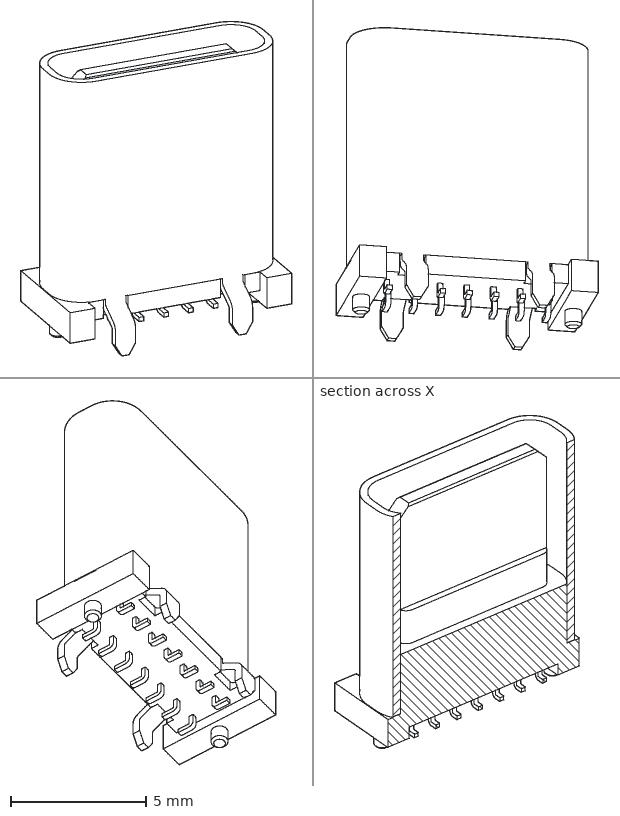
import cadquery as cq
import math

OVERALL_HEIGHT = 10.8
OVERALL_WIDTH = 4.96
OVERALL_LENGTH = 9.0

SHELL_WIDTH = 3.2
SHELL_LENGTH = 8.94
SHELL_CORNER_RADIUS = 1.31
SHEET_THICKNESS = 0.3
CAVITY_DEPTH = 6.2

LEG_WIDTH = 0.82
LEG_OFFSET_Y = 2.38
LEG_STEM_HEIGHT = 0.18
LEG_SLOPE = 30.0
BEND_INNER_RADIUS = 0.1
BEND_OUTER_RADIUS = BEND_INNER_RADIUS + SHEET_THICKNESS
LEG_TIP_WIDTH = 0.29
LEG_TIP_HEIGHT = 0.44

BLOCK_WIDTH = 4.4
BLOCK_LENGTH = 1.02
BLOCK_HEIGHT = 1.23
LEG_BELOW_BLOCK = 0.75
BASE_HEIGHT = 0.75
LEG_RECESS_WIDTH = 0.99

TONGUE_WIDTH = 0.69
TONGUE_LENGTH = 6.91
TONGUE_BELOW_RIM = 0.29
TONGUE_SIDE_CHAMFER = 0.09
TONGUE_END_CHAMFER = 0.5
RIDGE_WIDTH = 1.24
RIDGE_HEIGHT = 1.45
RIDGE_CORNER_RADIUS = 0.4

PEG_DIAMETER = 0.63
PEG_LENGTH = 0.6
PEG_CHAMFER = 0.1
PEG_OFFSET_Y = 4.0

CONTACTS_PER_ROW = 7
CONTACT_PITCH = 1.0
CONTACT_ROW_SHIFT = 0.15
CONTACT_WIDTH = 0.19
CONTACT_THICKNESS = 0.17
CONTACT_BELOW_BLOCK = 0.08
CONTACT_INNER_X = 0.54
CONTACT_OUTER_X = 1.22
CONTACT_BEND_INNER_RADIUS = 0.027

LEG_BOTTOM = -(BLOCK_HEIGHT + LEG_BELOW_BLOCK)
RIM_LEVEL = OVERALL_HEIGHT + LEG_BOTTOM
FLOOR_LEVEL = RIM_LEVEL - CAVITY_DEPTH
TONGUE_TOP = RIM_LEVEL - TONGUE_BELOW_RIM
CONTACT_BOTTOM = -(BLOCK_HEIGHT + CONTACT_BELOW_BLOCK)
CAVITY_WIDTH = SHELL_WIDTH - 2 * SHEET_THICKNESS
CAVITY_LENGTH = SHELL_LENGTH - 2 * SHEET_THICKNESS
CAVITY_CORNER_RADIUS = SHELL_CORNER_RADIUS - SHEET_THICKNESS


def upright_block(width, length, bottom, top, center=(0, 0)):
    """Box standing between two Z levels."""
    return (
        cq.Workplane("XY", origin=(center[0], center[1], bottom))
        .rect(width, length)
        .extrude(top - bottom)
    )


def rounded_block(width, length, radius, bottom, top):
    """Upright block with its four vertical edges rounded."""
    return upright_block(width, length, bottom, top).edges("|Z").fillet(radius)


def polar(center, radius, degrees):
    """Point on a circle, by its angle from the first axis."""
    angle = math.radians(degrees)
    return (center[0] + radius * math.cos(angle), center[1] + radius * math.sin(angle))


def make_leg():
    """Leg on the +X, +Y quarter: sheet bent out along a slope, then straight down."""
    outer_face = OVERALL_WIDTH / 2
    slope = math.radians(LEG_SLOPE)
    upper_center = (SHELL_WIDTH / 2 + BEND_INNER_RADIUS, -LEG_STEM_HEIGHT)
    lower_x = outer_face - BEND_OUTER_RADIUS
    bend_reach = BEND_INNER_RADIUS + BEND_OUTER_RADIUS
    slope_run = lower_x - upper_center[0] + bend_reach * math.sin(slope)
    lower_z = upper_center[1] - bend_reach * math.cos(slope) - slope_run * math.tan(slope)
    lower_center = (lower_x, lower_z)

    tangent_angle = 90 - LEG_SLOPE
    upper_end = 180 + tangent_angle
    upper_mid = 180 + tangent_angle / 2
    lower_mid = tangent_angle / 2
    strip = (
        cq.Workplane("XZ", origin=(0, LEG_OFFSET_Y, 0))
        .moveTo(SHELL_WIDTH / 2, 0)
        .lineTo(*polar(upper_center, BEND_INNER_RADIUS, 180))
        .threePointArc(
            polar(upper_center, BEND_INNER_RADIUS, upper_mid),
            polar(upper_center, BEND_INNER_RADIUS, upper_end),
        )
        .lineTo(*polar(lower_center, BEND_OUTER_RADIUS, tangent_angle))
        .threePointArc(
            polar(lower_center, BEND_OUTER_RADIUS, lower_mid),
            polar(lower_center, BEND_OUTER_RADIUS, 0),
        )
        .lineTo(outer_face, LEG_BOTTOM)
        .lineTo(outer_face - SHEET_THICKNESS, LEG_BOTTOM)
        .lineTo(*polar(lower_center, BEND_INNER_RADIUS, 0))
        .threePointArc(
            polar(lower_center, BEND_INNER_RADIUS, lower_mid),
            polar(lower_center, BEND_INNER_RADIUS, tangent_angle),
        )
        .lineTo(*polar(upper_center, BEND_OUTER_RADIUS, upper_end))
        .threePointArc(
            polar(upper_center, BEND_OUTER_RADIUS, upper_mid),
            polar(upper_center, BEND_OUTER_RADIUS, 180),
        )
        .lineTo(CAVITY_WIDTH / 2, 0)
        .close()
        .extrude(LEG_WIDTH / 2, both=True)
    )

    taper_top = LEG_BOTTOM + LEG_TIP_HEIGHT
    pointed_outline = (
        cq.Workplane("YZ", origin=(0, LEG_OFFSET_Y, 0))
        .polyline([
            (-LEG_WIDTH / 2, 0),
            (-LEG_WIDTH / 2, taper_top),
            (-LEG_TIP_WIDTH / 2, LEG_BOTTOM),
            (LEG_TIP_WIDTH / 2, LEG_BOTTOM),
            (LEG_WIDTH / 2, taper_top),
            (LEG_WIDTH / 2, 0),
        ])
        .close()
        .extrude(outer_face)
    )
    return strip.intersect(pointed_outline)


def make_shell():
    """Open oval sleeve with two legs on each long side."""
    sleeve = rounded_block(SHELL_WIDTH, SHELL_LENGTH, SHELL_CORNER_RADIUS, 0, RIM_LEVEL)
    sleeve = sleeve.cut(
        rounded_block(CAVITY_WIDTH, CAVITY_LENGTH, CAVITY_CORNER_RADIUS, 0, RIM_LEVEL)
    )
    leg = make_leg()
    side_legs = leg.union(leg.mirror("XZ"))
    return sleeve.union(side_legs).union(side_legs.mirror("YZ"))


def make_base():
    """Bridge between two foot blocks, recessed where the legs pass."""
    base = upright_block(SHELL_WIDTH, OVERALL_LENGTH - BLOCK_LENGTH, -BASE_HEIGHT, 0)
    recess_x = (SHELL_WIDTH - SHEET_THICKNESS) / 2
    block_y = (OVERALL_LENGTH - BLOCK_LENGTH) / 2
    for side_y in (-1, 1):
        block_center = (0, side_y * block_y)
        base = base.union(upright_block(BLOCK_WIDTH, BLOCK_LENGTH, -BLOCK_HEIGHT, 0, block_center))
        for side_x in (-1, 1):
            recess_center = (side_x * recess_x, side_y * LEG_OFFSET_Y)
            base = base.cut(
                upright_block(SHEET_THICKNESS, LEG_RECESS_WIDTH, -BASE_HEIGHT, 0, recess_center)
            )
    return base


def make_tongue():
    """Tongue with 45 degree chamfers along its top edges, deeper at the two ends."""
    def chamfered(plane, width, depth, chamfer):
        return (
            cq.Workplane(plane)
            .polyline([
                (-width / 2, FLOOR_LEVEL),
                (-width / 2, TONGUE_TOP - chamfer),
                (-width / 2 + chamfer, TONGUE_TOP),
                (width / 2 - chamfer, TONGUE_TOP),
                (width / 2, TONGUE_TOP - chamfer),
                (width / 2, FLOOR_LEVEL),
            ])
            .close()
            .extrude(depth / 2, both=True)
        )

    cross_section = chamfered("XZ", TONGUE_WIDTH, TONGUE_LENGTH, TONGUE_SIDE_CHAMFER)
    side_profile = chamfered("YZ", TONGUE_LENGTH, TONGUE_WIDTH, TONGUE_END_CHAMFER)
    return cross_section.intersect(side_profile)


def make_pegs():
    """Round locating pegs under the foot blocks."""
    return (
        cq.Workplane("XY", origin=(0, 0, -BLOCK_HEIGHT))
        .pushPoints([(0, -PEG_OFFSET_Y), (0, PEG_OFFSET_Y)])
        .circle(PEG_DIAMETER / 2)
        .extrude(-PEG_LENGTH)
        .faces("<Z")
        .chamfer(PEG_CHAMFER)
    )


def make_contact(side_x, center_y):
    """L-shaped contact: a stem under the base and a foot pointing outwards in X."""
    stem = upright_block(
        CONTACT_THICKNESS, CONTACT_WIDTH, CONTACT_BOTTOM, -BASE_HEIGHT,
        (side_x * (CONTACT_INNER_X + CONTACT_THICKNESS / 2), center_y),
    )
    foot = upright_block(
        CONTACT_OUTER_X - CONTACT_INNER_X, CONTACT_WIDTH,
        CONTACT_BOTTOM, CONTACT_BOTTOM + CONTACT_THICKNESS,
        (side_x * (CONTACT_INNER_X + CONTACT_OUTER_X) / 2, center_y),
    )
    inner_corner = (
        side_x * (CONTACT_INNER_X + CONTACT_THICKNESS), center_y, CONTACT_BOTTOM + CONTACT_THICKNESS
    )
    outer_corner = (side_x * CONTACT_INNER_X, center_y, CONTACT_BOTTOM)
    return (
        stem.union(foot)
        .edges(cq.selectors.NearestToPointSelector(inner_corner))
        .fillet(CONTACT_BEND_INNER_RADIUS)
        .edges(cq.selectors.NearestToPointSelector(outer_corner))
        .fillet(CONTACT_BEND_INNER_RADIUS + CONTACT_THICKNESS)
    )


def make_housing():
    """Base, plug inside the shell, tongue, pegs and contacts as one body."""
    plug = rounded_block(CAVITY_WIDTH, CAVITY_LENGTH, CAVITY_CORNER_RADIUS, 0, FLOOR_LEVEL)
    ridge = rounded_block(
        RIDGE_WIDTH, TONGUE_LENGTH, RIDGE_CORNER_RADIUS, FLOOR_LEVEL, FLOOR_LEVEL + RIDGE_HEIGHT
    )
    body = make_base().union(plug).union(ridge).union(make_tongue()).union(make_pegs())
    for index in range(CONTACTS_PER_ROW):
        row_y = (index - (CONTACTS_PER_ROW - 1) / 2) * CONTACT_PITCH
        for side_x in (-1, 1):
            body = body.union(make_contact(side_x, row_y - side_x * CONTACT_ROW_SHIFT))
    return body


shell = make_shell()
housing = make_housing()

result = cq.Compound.makeCompound([shell.solids().val(), housing.solids().val()])